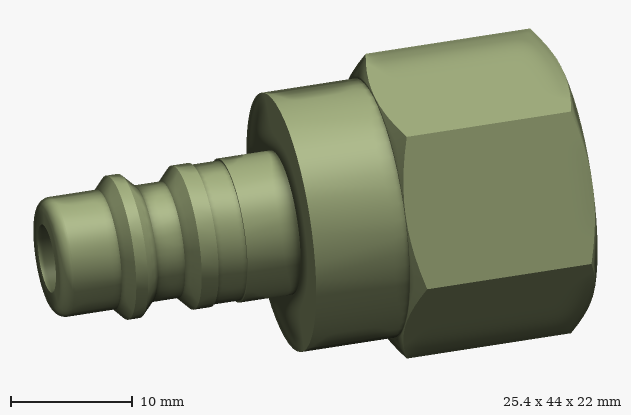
import cadquery as cq
import math

total_length = 44.0

hex_across_flats = 22.0
hex_across_corners = hex_across_flats / math.cos(math.radians(30))
hex_length = 16.0
hex_start = total_length - hex_length
chamfer_face_diameter = 21.95
chamfer_angle = 30.0

collar_diameter = 21.6
collar_start = 20.0

tip_diameter = 10.0
rib_diameter = 12.0
groove_diameter = 9.72
neck_diameter = 11.65
tip_round = 0.95

tip_end = 5.0
front_rib_start = 6.0
front_rib_end = 7.0
groove_start = 8.15
groove_end = 10.45
rear_rib_start = 11.55
rear_rib_end = 13.02
neck_end = 15.5

bore_diameter = 5.68


def revolve_about_y(profile):
    """Turn a closed (radius, Y) profile into a solid around the Y axis."""
    return profile.close().revolve(360, (0, 0, 0), (0, 1, 0))


def make_hexagon():
    """Hexagon with corners on the X axis and conical chamfers at both ends."""
    prism = (
        cq.Workplane("XZ", origin=(0, total_length, 0))
        .polygon(6, hex_across_corners)
        .extrude(hex_length)
    )
    face_radius = chamfer_face_diameter / 2
    outer_radius = hex_across_corners / 2 + 0.45
    cone_depth = (outer_radius - face_radius) * math.tan(math.radians(chamfer_angle))
    envelope = revolve_about_y(
        cq.Workplane("XY")
        .moveTo(0, hex_start)
        .lineTo(face_radius, hex_start)
        .lineTo(outer_radius, hex_start + cone_depth)
        .lineTo(outer_radius, total_length - cone_depth)
        .lineTo(face_radius, total_length)
        .lineTo(0, total_length)
    )
    return prism.intersect(envelope)


def make_collar_and_plug():
    """Collar and stepped plug with two ribs, a groove and a rounded tip."""
    tip_radius = tip_diameter / 2
    rib_radius = rib_diameter / 2
    groove_radius = groove_diameter / 2
    neck_radius = neck_diameter / 2
    collar_radius = collar_diameter / 2
    return revolve_about_y(
        cq.Workplane("XY")
        .moveTo(0, 0)
        .lineTo(tip_radius - tip_round, 0)
        .radiusArc((tip_radius, tip_round), -tip_round)
        .lineTo(tip_radius, tip_end)
        .lineTo(rib_radius, front_rib_start)
        .lineTo(rib_radius, front_rib_end)
        .lineTo(groove_radius, groove_start)
        .lineTo(groove_radius, groove_end)
        .lineTo(rib_radius, rear_rib_start)
        .lineTo(rib_radius, rear_rib_end)
        .lineTo(neck_radius, rear_rib_end)
        .lineTo(neck_radius, neck_end)
        .lineTo(rib_radius, neck_end)
        .lineTo(rib_radius, collar_start)
        .lineTo(collar_radius, collar_start)
        .lineTo(collar_radius, hex_start)
        .lineTo(0, hex_start)
    )


def make_bore():
    """Straight passage through the whole length."""
    return cq.Workplane("XZ").circle(bore_diameter / 2).extrude(-total_length)


result = make_hexagon().union(make_collar_and_plug()).cut(make_bore())